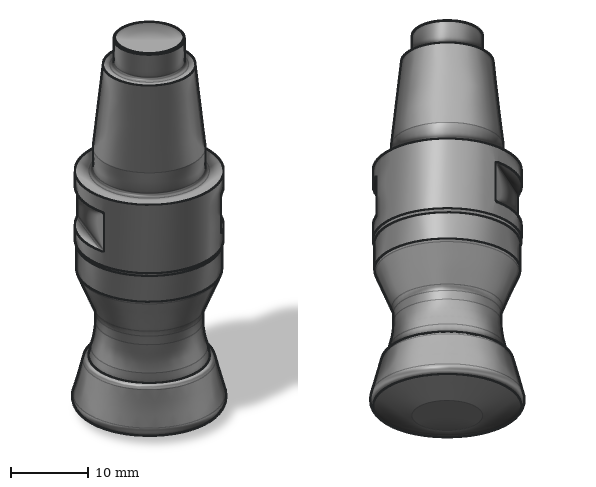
import cadquery as cq
import math

total_height = 54.5

peg_radius = 9.2 / 2
peg_chamfer = 0.15
taper_top_z = 50.6
taper_top_radius = 6.0
waist_top_z = 38.55
waist_end_radius = 7.3
waist_middle_radius = 7.25
root_fillet = 0.5

collar_radius = 19.3 / 2
collar_top_z = 35.1
collar_bottom_z = 24.65
collar_bevel_height = 0.5
flat_half_distance = 8.0
flat_bottom_z = 27.2
flat_top_z = 32.9
flat_corner_radius = 0.2

shoulder_radius = 18.9 / 2
shoulder_bottom_z = 20.9
shoulder_bevel_radius = 9.3
shoulder_bevel_z = 20.5
throat_radius = 14.0 / 2
cone_bottom_z = 15.4
cone_bottom_radius = 7.2
throat_top_z = 14.6
throat_bottom_z = 13.35
flare_z = 9.55
flare_radius = 7.6
flare_height = throat_bottom_z - flare_z
flare_width = flare_radius - throat_radius
flare_arc_radius = (flare_height**2 + flare_width**2) / (2 * flare_width)

foot_top_z = 8.25
foot_neck_radius = 7.85
foot_top_radius = 8.6
foot_top_edge_z = 7.65
foot_radius = 20.0 / 2
foot_side_z = 2.7
foot_side_radius = 9.9
foot_rim_z = 2.3
foot_bottom_edge_radius = 9.6
foot_bottom_edge_z = 1.4
foot_base_radius = 4.6

quarter_arc_inset = 1 - math.sqrt(0.5)


def revolve_profile(profile):
    """Turn a closed (radius, Z) profile about the Z axis."""
    return profile.close().revolve(360, (0, 0, 0), (0, 1, 0))


def root_fillet_arc(profile, radius, shoulder_z):
    """Add a concave quarter arc that rises from a shoulder to a shaft of the given radius."""
    inset = root_fillet * quarter_arc_inset
    return (
        profile.lineTo(radius + root_fillet, shoulder_z)
        .threePointArc((radius + inset, shoulder_z + inset), (radius, shoulder_z + root_fillet))
    )


def flat_cutter():
    """Box that cuts the wrench flat on the -Y side, with rounded inner corners."""
    depth = collar_radius - flat_half_distance
    return (
        cq.Workplane("XY")
        .box(2 * collar_radius, 2 * depth, flat_top_z - flat_bottom_z)
        .edges("|X and >Y")
        .fillet(flat_corner_radius)
        .translate((0, -collar_radius, (flat_top_z + flat_bottom_z) / 2))
    )


def make_main_body():
    """Turned body from the throat end to the peg, with wrench flats on its collar."""
    profile = cq.Workplane("XZ").moveTo(0, foot_top_z).lineTo(foot_neck_radius, foot_top_z)
    profile = (
        profile.lineTo(flare_radius, flare_z)
        .radiusArc((throat_radius, throat_bottom_z), flare_arc_radius)
        .lineTo(throat_radius, throat_top_z)
        .tangentArcPoint((cone_bottom_radius, cone_bottom_z), relative=False)
    )
    profile = (
        profile.lineTo(shoulder_bevel_radius, shoulder_bevel_z)
        .lineTo(shoulder_radius, shoulder_bottom_z)
        .lineTo(shoulder_radius, collar_bottom_z)
        .lineTo(collar_radius, collar_bottom_z + collar_bevel_height)
        .lineTo(collar_radius, collar_top_z)
    )
    profile = (
        root_fillet_arc(profile, waist_end_radius, collar_top_z)
        .threePointArc(
            (waist_middle_radius, (collar_top_z + root_fillet + waist_top_z) / 2),
            (waist_end_radius, waist_top_z),
        )
        .lineTo(taper_top_radius, taper_top_z)
    )
    profile = (
        root_fillet_arc(profile, peg_radius, taper_top_z)
        .lineTo(peg_radius, total_height - peg_chamfer)
        .lineTo(peg_radius - peg_chamfer, total_height)
        .lineTo(0, total_height)
    )
    body = revolve_profile(profile)
    for angle in (0, 180):
        body = body.cut(flat_cutter().rotate((0, 0, 0), (0, 0, 1), angle))
    return body


def make_foot():
    """Conical foot with rounded edges and a shallow conical underside."""
    profile = (
        cq.Workplane("XZ")
        .moveTo(0, foot_top_z)
        .lineTo(foot_neck_radius, foot_top_z)
        .spline(
            [(foot_top_radius, foot_top_edge_z)],
            tangents=[
                (1, 0),
                (foot_side_radius - foot_top_radius, foot_side_z - foot_top_edge_z),
            ],
            includeCurrent=True,
        )
        .lineTo(foot_side_radius, foot_side_z)
        .threePointArc((foot_radius, foot_rim_z), (foot_bottom_edge_radius, foot_bottom_edge_z))
        .lineTo(foot_base_radius, 0)
        .lineTo(0, 0)
    )
    return revolve_profile(profile)


main_body = make_main_body()
foot = make_foot()

result = cq.Compound.makeCompound([main_body.val(), foot.val()])